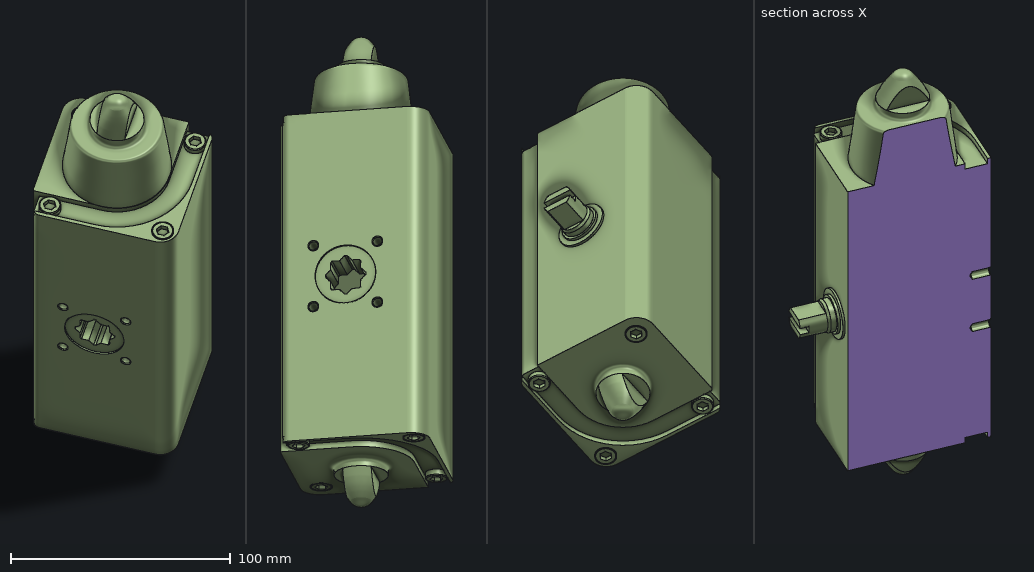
import cadquery as cq
import math


body_half = 79.5
block_far = 33.0
block_near = 24.7
flange_far = 37.5
flange_near = 29.7
block_corner_radius = 9.1
flange_corner_radius = 8.7
block_edge_radius = 1.4
flange_edge_radius = 3.7

recess_depth = 3.0
recess_reach = 35.6

screw_far = 30.5
screw_near = 23.0
screw_head_diameter = 10.0
screw_top_diameter = 9.1
screw_hex_flats = 5.0
screw_hex_depth = 2.3

cap_height = 29.7
cap_base_radius = 25.0
cap_top_radius = 21.3
cap_fillet = 2.0

knob_height = 19.9
knob_radius = 12.3
knob_root_fillet = 2.7
knob_ledge_height = 4.5
knob_mid_radius = 9.8
knob_mid_height = 9.8
knob_dome_radius = 5.0
knob_dome_height = 17.4
blade_width = 13.3

mount_pitch = 29.7
mount_drill_diameter = 4.0
mount_mouth_diameter = 5.0
mount_depth = 9.1
drill_point_angle = 118

drive_diameter = 28.0
drive_depth = 9.1
drive_setback = 1.0
journal_diameter = 24.0
journal_end = 34.0
collar_diameter = 18.5
collar_end = 35.5
neck_diameter = 16.0
neck_end = 38.2
neck_cone_end = 39.5
tip_diameter = 14.6
tip_end = 53.0
tip_flats = 10.5
tip_slot_width = 3.5
tip_slot_depth = 4.3
socket_square = 14.0
socket_circle = 18.7
socket_depth = 18.3


def corner_box(x_min, x_max, y_min, y_max, z_min, z_max):
    """Box between opposite corners."""
    size = (x_max - x_min, y_max - y_min, z_max - z_min)
    return cq.Workplane("XY").box(*size, centered=False).translate((x_min, y_min, z_min))


def y_cylinder(diameter, y_start, y_end):
    """Cylinder along the shaft axis."""
    blank = cq.Workplane("XZ", origin=(0, y_start, 0)).circle(diameter / 2)
    return blank.extrude(-(y_end - y_start))


def make_body():
    block = corner_box(-block_far, block_near, -block_near, block_far, -body_half, body_half)
    block = block.edges("|Z and <X and >Y").fillet(block_corner_radius)
    block = block.edges("|Z and <X and <Y").fillet(block_edge_radius)
    flange = corner_box(-flange_near, flange_far, -flange_far, flange_near, -body_half, body_half)
    flange = flange.edges("|Z and >X and <Y").fillet(flange_corner_radius)
    flange = flange.edges("|Z and <X and <Y").fillet(flange_edge_radius)
    flange = flange.edges("|Z and >X and >Y").fillet(flange_edge_radius)
    return block.union(flange)


def make_end_recess(z_min):
    """Curved L between the main block and the thin outer wall, open at both ends."""
    z_max = z_min + recess_depth
    outer = corner_box(-flange_far, recess_reach, -recess_reach, flange_far, z_min, z_max)
    outer = outer.edges("|Z and >X and <Y").fillet(recess_reach)
    inner = corner_box(-2 * flange_far, block_near, -block_near, 2 * flange_far, z_min, z_max)
    inner = inner.edges("|Z and >X and <Y").fillet(block_near)
    return outer.cut(inner)


def make_screw_head():
    """Chamfered hex socket head standing on Z = 0, as high as the recess is deep."""
    chamfer = (screw_head_diameter - screw_top_diameter) / 2
    head = cq.Workplane("XY").circle(screw_head_diameter / 2).extrude(recess_depth)
    head = head.faces(">Z").chamfer(chamfer)
    hex_corners = screw_hex_flats / math.cos(math.radians(30))
    return head.faces(">Z").workplane().polygon(6, hex_corners).cutBlind(-screw_hex_depth)


def add_end_details(body):
    """Recess and four screw heads on both ends."""
    floor = body_half - recess_depth
    body = body.cut(make_end_recess(floor)).cut(make_end_recess(-body_half))
    seat = cq.Workplane("XY").circle(screw_head_diameter / 2).extrude(recess_depth)
    head = make_screw_head()
    for x in (-screw_near, screw_far):
        for y in (-screw_far, screw_near):
            for flip in (0, 180):
                z = -floor if flip else floor
                place = cq.Location(cq.Vector(x, y, z), cq.Vector(1, 0, 0), flip)
                body = body.cut(cq.Workplane(seat.val().moved(place)))
                body = body.union(cq.Workplane(head.val().moved(place)))
    return body


def make_cap():
    cap = (
        cq.Workplane("XZ")
        .moveTo(0, 0)
        .lineTo(cap_base_radius, 0)
        .lineTo(cap_top_radius, cap_height)
        .lineTo(0, cap_height)
        .close()
        .revolve(360, (0, 0), (0, 1))
    )
    return cap.faces(">Z").edges().fillet(cap_fillet).translate((0, 0, body_half))


def make_knob():
    """Ogive with two flat sides, standing on Z = 0."""
    root_radius = knob_radius + knob_root_fillet
    root_mid = knob_root_fillet * (1 - math.sqrt(0.5))
    dome_rise = knob_height - knob_dome_height
    sphere_radius = (knob_dome_radius**2 + dome_rise**2) / (2 * dome_rise)
    dome_mid_angle = math.asin(knob_dome_radius / sphere_radius) / 2
    dome_mid = (
        sphere_radius * math.sin(dome_mid_angle),
        knob_height - sphere_radius * (1 - math.cos(dome_mid_angle)),
    )
    knob = (
        cq.Workplane("XZ")
        .moveTo(0, 0)
        .lineTo(root_radius, 0)
        .threePointArc((knob_radius + root_mid, root_mid), (knob_radius, knob_root_fillet))
        .lineTo(knob_radius, knob_ledge_height)
        .threePointArc((knob_mid_radius, knob_mid_height), (knob_dome_radius, knob_dome_height))
        .threePointArc(dome_mid, (0, knob_height))
        .close()
        .revolve(360, (0, 0), (0, 1))
    )
    half_blade = blade_width / 2
    for x_min, x_max in ((half_blade, root_radius), (-root_radius, -half_blade)):
        side = corner_box(x_min, x_max, -root_radius, root_radius, knob_ledge_height, knob_height)
        knob = knob.cut(side)
    return knob


def make_mount_hole():
    """Drilled hole with a conical bottom and a chamfered mouth, running from Y = 0 towards +Y."""
    drill_radius = mount_drill_diameter / 2
    mouth_radius = mount_mouth_diameter / 2
    point_length = drill_radius / math.tan(math.radians(drill_point_angle / 2))
    return (
        cq.Workplane("XY")
        .moveTo(0, 0)
        .lineTo(mouth_radius, 0)
        .lineTo(drill_radius, mouth_radius - drill_radius)
        .lineTo(drill_radius, mount_depth)
        .lineTo(0, mount_depth + point_length)
        .close()
        .revolve(360, (0, 0), (0, 1))
    )


def make_shaft_bore():
    drive_bore = y_cylinder(drive_diameter, -flange_far, -flange_far + drive_setback + drive_depth)
    return drive_bore.union(y_cylinder(journal_diameter, -flange_far, block_far))


def make_housing():
    housing = add_end_details(make_body())
    knob = make_knob()
    housing = housing.union(make_cap())
    housing = housing.union(knob.translate((0, 0, body_half + cap_height)))
    housing = housing.union(knob.rotate((0, 0, 0), (1, 0, 0), 180).translate((0, 0, -body_half)))
    mount_hole = make_mount_hole()
    for x in (-mount_pitch / 2, mount_pitch / 2):
        for z in (-mount_pitch / 2, mount_pitch / 2):
            housing = housing.cut(mount_hole.translate((x, -flange_far, z)))
    return housing.cut(make_shaft_bore())


def make_socket(y_start):
    """Eight-pointed star of two crossed squares, with the points trimmed by a circle."""
    square = cq.Workplane("XZ", origin=(0, y_start, 0)).rect(socket_square, socket_square)
    square = square.extrude(-socket_depth)
    star = square.union(square.rotate((0, 0, 0), (0, 1, 0), 45))
    return star.intersect(y_cylinder(socket_circle, y_start, y_start + socket_depth))


def make_shaft_tip():
    """Round end with two flats and a driver slot across it."""
    tip = y_cylinder(tip_diameter, neck_cone_end, tip_end)
    half_tip = tip_diameter / 2
    half_flats = tip_flats / 2
    half_slot = tip_slot_width / 2
    tip = tip.intersect(
        corner_box(-half_tip, half_tip, neck_cone_end, tip_end, -half_flats, half_flats)
    )
    slot_start = tip_end - tip_slot_depth
    return tip.cut(corner_box(-half_tip, half_tip, slot_start, tip_end, -half_slot, half_slot))


def make_shaft():
    front = -flange_far + drive_setback
    drive_end = front + drive_depth
    shaft = (
        cq.Workplane("XY")
        .moveTo(0, front)
        .lineTo(drive_diameter / 2, front)
        .lineTo(drive_diameter / 2, drive_end)
        .lineTo(journal_diameter / 2, drive_end)
        .lineTo(journal_diameter / 2, journal_end)
        .lineTo(collar_diameter / 2, journal_end)
        .lineTo(collar_diameter / 2, collar_end)
        .lineTo(neck_diameter / 2, collar_end)
        .lineTo(neck_diameter / 2, neck_end)
        .lineTo(tip_diameter / 2, neck_cone_end)
        .lineTo(0, neck_cone_end)
        .close()
        .revolve(360, (0, 0), (0, 1))
    )
    return shaft.union(make_shaft_tip()).cut(make_socket(front))


housing = make_housing()
shaft = make_shaft()

result = cq.Compound.makeCompound([housing.solids().val(), shaft.solids().val()])